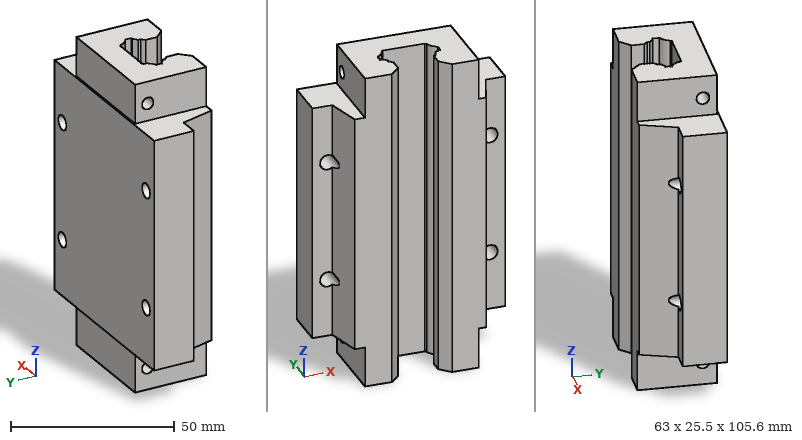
import cadquery as cq

LENGTH = 105.6
WIDTH = 63.0
DEPTH = 25.5
BACK_Y = DEPTH / 2
FRONT_Y = -DEPTH / 2

BLOCK_WIDTH = 37.2
BLOCK_BACK_STEP = 0.5
FLANGE_LENGTH = 78.8
FLANGE_THICKNESS = 13.9
FLANGE_ROOT_HALF_WIDTH = 25.0
LEFT_FOOT_X = -22.0
RIGHT_FOOT_X = 21.0

MOUTH_HALF_WIDTH = 9.8
THROAT_HALF_WIDTH = 6.5
THROAT_HEIGHT = 7.3
LIP_HALF_WIDTH = 7.7
LIP_START_HEIGHT = 8.5
LIP_BEND_HEIGHT = 9.3
GROOVE_HALF_WIDTH = 9.8
GROOVE_EDGE_HALF_WIDTH = 9.3
GROOVE_LOW_HEIGHT = 10.6
GROOVE_HIGH_HEIGHT = 12.7
SHOULDER_HEIGHT = 13.0
SHOULDER_MID_HALF_WIDTH = 7.8
SHOULDER_MID_HEIGHT = 14.5
CEILING_HALF_WIDTH = 7.3
CEILING_CHAMFER = 0.4
CEILING_HEIGHT = 16.0

MOUNT_DIAMETER = 5.0
MOUNT_SPACING_X = 53.0
MOUNT_SPACING_Z = 40.1
CROSS_DIAMETER = 4.0
CROSS_SPACING_Z = 90.6
CROSS_BACK_OFFSET = 5.0


def make_block():
    depth = DEPTH - BLOCK_BACK_STEP
    return (
        cq.Workplane("XY")
        .center(0, FRONT_Y + depth / 2)
        .rect(BLOCK_WIDTH, depth)
        .extrude(LENGTH / 2, both=True)
    )


def make_flanges():
    underside_y = BACK_Y - FLANGE_THICKNESS
    outline = [
        (-WIDTH / 2, BACK_Y),
        (WIDTH / 2, BACK_Y),
        (WIDTH / 2, underside_y),
        (FLANGE_ROOT_HALF_WIDTH, underside_y),
        (RIGHT_FOOT_X, FRONT_Y),
        (LEFT_FOOT_X, FRONT_Y),
        (-FLANGE_ROOT_HALF_WIDTH, underside_y),
        (-WIDTH / 2, underside_y),
    ]
    return cq.Workplane("XY").polyline(outline).close().extrude(FLANGE_LENGTH / 2, both=True)


def make_channel():
    """Half of the channel section, mirrored about the YZ plane."""
    half = (
        cq.Workplane("XY", origin=(0, FRONT_Y, 0))
        .lineTo(MOUTH_HALF_WIDTH, 0)
        .lineTo(THROAT_HALF_WIDTH, MOUTH_HALF_WIDTH - THROAT_HALF_WIDTH)
        .lineTo(THROAT_HALF_WIDTH, THROAT_HEIGHT)
        .lineTo(LIP_HALF_WIDTH, LIP_START_HEIGHT)
        .lineTo(LIP_HALF_WIDTH, LIP_BEND_HEIGHT)
        .lineTo(GROOVE_EDGE_HALF_WIDTH, GROOVE_LOW_HEIGHT)
        .lineTo(GROOVE_HALF_WIDTH, GROOVE_LOW_HEIGHT)
        .lineTo(GROOVE_HALF_WIDTH, GROOVE_HIGH_HEIGHT)
        .lineTo(GROOVE_EDGE_HALF_WIDTH, SHOULDER_HEIGHT)
        .threePointArc(
            (SHOULDER_MID_HALF_WIDTH, SHOULDER_MID_HEIGHT),
            (CEILING_HALF_WIDTH, CEILING_HEIGHT - CEILING_CHAMFER),
        )
        .lineTo(CEILING_HALF_WIDTH - CEILING_CHAMFER, CEILING_HEIGHT)
        .lineTo(0, CEILING_HEIGHT)
        .close()
        .extrude(LENGTH / 2, both=True)
    )
    return half.union(half.mirror("YZ"))


def make_mount_holes():
    """Four holes through the flanges, along Y."""
    return (
        cq.Workplane("XZ")
        .rarray(MOUNT_SPACING_X, MOUNT_SPACING_Z, 2, 2)
        .circle(MOUNT_DIAMETER / 2)
        .extrude(DEPTH, both=True)
    )


def make_cross_holes():
    """One hole through each end of the block, along X."""
    hole_y = BACK_Y - CROSS_BACK_OFFSET
    return (
        cq.Workplane("YZ")
        .pushPoints([(hole_y, side * CROSS_SPACING_Z / 2) for side in (-1, 1)])
        .circle(CROSS_DIAMETER / 2)
        .extrude(WIDTH, both=True)
    )


body = make_block().union(make_flanges())
result = body.cut(make_channel()).cut(make_mount_holes()).cut(make_cross_holes())